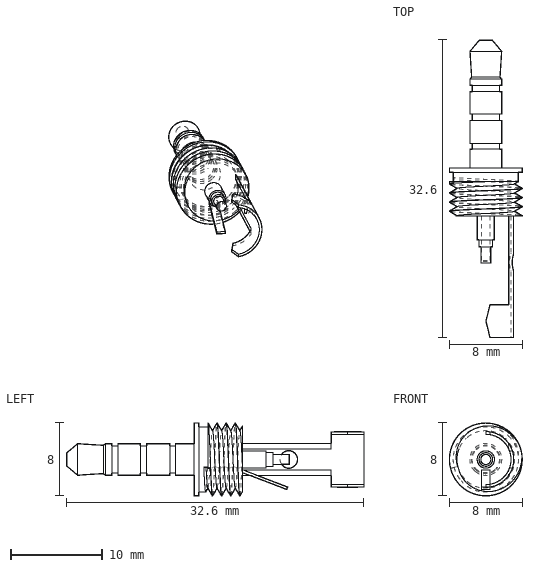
import cadquery as cq
import math


barrel_length = 14.0
barrel_radius = 1.75
groove_radius = 1.5
tip_flat_radius = 0.72
tip_cone_length = 1.22
tip_waist_radius = 1.57
tip_waist_from_tip = 4.05
collar_from_tip = 4.28
insulator_grooves = [(4.96, 0.68), (8.1, 0.68), (11.34, 0.6)]

flange_radius = 4.0
flange_thickness = 0.5
neck_radius = 3.58
neck_end = 1.5
thread_radius = 4.0
body_end = 5.3

pitch = 1.0
thread_angle = 60.0
crest_flat = 0.03
thread_depth = (pitch - crest_flat) / (2 * math.tan(math.radians(thread_angle / 2)))
groove_overshoot = 0.1
groove_start_angle = 104.0
root_at_top = 1.0
groove_half_turns = 9

terminal_steps = [(0.95, 7.88), (0.75, 8.66), (0.55, 10.43)]

clip_outer_radius = 3.06
clip_wall = 0.3
clip_end = 18.62
strip_edge_x = 2.5
crimp_front = 15.0
crimp_corner_x = 0.45
clip_hole_radius = 0.95
clip_hole_position = 10.36

tab_width = 0.95
tab_thickness = 0.3
tab_angle = 20.9
tab_root_z = -1.13
tab_length = 5.3

root_overlap = 0.3
cut_margin = 0.2


def rod(radius, front, end):
    """Solid cylinder on the plug axis between two distances behind Y = 0."""
    return cq.Workplane("XZ", origin=(0, -front, 0)).circle(radius).extrude(end - front)


def contact_barrel():
    outline = [
        (0, 0),
        (barrel_radius, 0),
        (barrel_radius, barrel_length - collar_from_tip),
        (tip_waist_radius, barrel_length - tip_waist_from_tip),
        (barrel_radius, barrel_length - tip_cone_length),
        (tip_flat_radius, barrel_length),
        (0, barrel_length),
    ]
    barrel = cq.Workplane("XY").polyline(outline).close().revolve(360, (0, 0, 0), (0, 1, 0))
    for from_tip, width in insulator_grooves:
        front = from_tip - barrel_length
        ring = rod(barrel_radius + cut_margin, front, front + width)
        ring = ring.cut(rod(groove_radius, front, front + width))
        barrel = barrel.cut(ring)
    return barrel


def groove_half_turn(start_angle):
    """Half a turn of the helical V groove, built along +Z and then laid along -Y."""
    root_radius = thread_radius - thread_depth
    outer_radius = thread_radius + groove_overshoot
    half_width = (outer_radius - root_radius) * math.tan(math.radians(thread_angle / 2))
    profile = [(root_radius, 0), (outer_radius, half_width), (outer_radius, -half_width)]
    helix = cq.Wire.makeHelix(pitch, pitch / 2, thread_radius)
    groove = cq.Workplane("XZ").polyline(profile).close().sweep(cq.Workplane(obj=helix), isFrenet=True)
    groove = groove.rotate((0, 0, 0), (0, 0, 1), 90 + start_angle)
    groove = groove.translate((0, 0, root_at_top + pitch * start_angle / 360))
    return groove.rotate((0, 0, 0), (1, 0, 0), 90)


def threaded_body():
    body = rod(flange_radius, 0, flange_thickness)
    body = body.union(rod(neck_radius, flange_thickness, neck_end))
    body = body.union(rod(thread_radius, neck_end, body_end))
    for index in range(groove_half_turns):
        body = body.cut(groove_half_turn(groove_start_angle + 180 * index))
    return body


def centre_terminal():
    front = body_end - root_overlap
    terminal = rod(terminal_steps[0][0], front, terminal_steps[0][1])
    for radius, end in terminal_steps[1:]:
        terminal = terminal.union(rod(radius, front, end))
    return terminal


def cable_clip():
    front = body_end - root_overlap
    tube = rod(clip_outer_radius, front, clip_end)
    tube = tube.cut(rod(clip_outer_radius - clip_wall, front, clip_end))
    outline = [
        (strip_edge_x, -front),
        (strip_edge_x, -crimp_front),
        (crimp_corner_x, -crimp_front),
        (0, -(crimp_front + clip_end) / 2),
        (crimp_corner_x, -clip_end),
        (clip_outer_radius, -clip_end),
        (clip_outer_radius, -front),
    ]
    keep = cq.Workplane("XY").polyline(outline).close().extrude(clip_outer_radius, both=True)
    hole = cq.Workplane("YZ").center(-clip_hole_position, 0).circle(clip_hole_radius)
    return tube.intersect(keep).cut(hole.extrude(clip_outer_radius))


def side_terminal():
    tab = cq.Workplane("XY").box(
        tab_width, tab_length + root_overlap, tab_thickness, centered=(True, False, False)
    )
    tab = tab.translate((0, -tab_length, -tab_thickness))
    tab = tab.rotate((0, 0, 0), (1, 0, 0), tab_angle)
    return tab.translate((0, -body_end, tab_root_z))


result = (
    threaded_body()
    .union(contact_barrel())
    .union(centre_terminal())
    .union(cable_clip())
    .union(side_terminal())
)